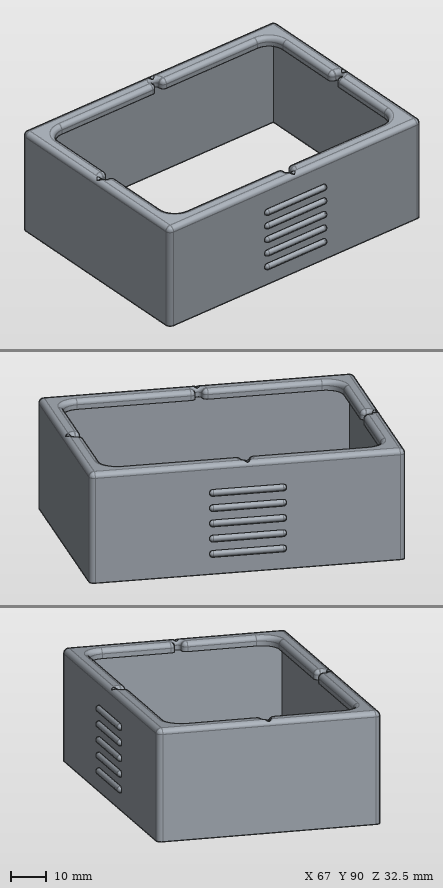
import cadquery as cq

width = 65.0
length = 90.0
height = 32.5
edge_radius = 1.5

wall = 1.5
rim_thickness = 2.8
rim_width = 5.0
rim_edge_radius = 1.4
opening_radius = 5.0

notch_radius = 1.0
notch_depth = 2.6

mark_half_width = 0.9
mark_depth = 0.45

rib_radius = 1.0
rib_length = 22.0
rib_count = 5
rib_pitch = 4.5
rib_middle_height = 15.0

opening_width = width - 2 * rim_width
opening_length = length - 2 * rim_width
rim_sides = [
    (opening_width / 2, 0),
    (opening_length / 2, 90),
    (opening_width / 2, 180),
    (opening_length / 2, 270),
]


def make_body():
    """Outer block with rounded upright and top edges, flat underneath."""
    block = cq.Workplane("XY").box(width, length, height, centered=(True, True, False))
    return block.edges("|Z or >Z").fillet(edge_radius)


def make_cavity():
    """Square-cornered hollow below the rim."""
    return cq.Workplane("XY").box(
        width - 2 * wall, length - 2 * wall, height - rim_thickness, centered=(True, True, False)
    )


def make_notch(inner_edge, angle):
    """Slot reaching from the middle of the opening into one rim side."""
    arc_centre = inner_edge + notch_depth - notch_radius
    slot = (
        cq.Workplane("XY")
        .moveTo(0, -notch_radius)
        .lineTo(arc_centre, -notch_radius)
        .threePointArc((inner_edge + notch_depth, 0), (arc_centre, notch_radius))
        .lineTo(0, notch_radius)
        .close()
        .extrude(height)
    )
    return slot.rotate((0, 0, 0), (0, 0, 1), angle)


def make_opening():
    """Cutter for the rim opening, flared at the top and at the notch mouths.

    The flare is rounded in a block wider than the body, because around the
    notch tips it runs on into the body's own rounded top edge.
    """
    opening = (
        cq.Workplane("XY")
        .rect(opening_width, opening_length)
        .extrude(height)
        .edges("|Z")
        .fillet(opening_radius)
    )
    for inner_edge, angle in rim_sides:
        opening = opening.union(make_notch(inner_edge, angle))
    surround_size = 2 * length
    surround = cq.Workplane("XY").rect(surround_size, surround_size).extrude(height)
    rounded = surround.cut(opening)
    mouth_band = 1.1 * notch_radius
    across_ends = cq.selectors.BoxSelector((-mouth_band, -length, 0), (mouth_band, length, height))
    across_sides = cq.selectors.BoxSelector((-width, -mouth_band, 0), (width, mouth_band, height))
    mouth_corners = rounded.edges("|Z").edges(across_ends + across_sides)
    rim_outline = rounded.faces(">Z").wires(cq.selectors.LengthNthSelector(0)).edges()
    rounded = mouth_corners.add(rim_outline).fillet(rim_edge_radius)
    return surround.cut(rounded)


def make_mark(inner_edge, angle):
    """V-shaped groove cutter across one rim side, from the opening outward."""
    groove = (
        cq.Workplane("YZ", origin=(inner_edge, 0, height))
        .moveTo(-mark_half_width, 0)
        .lineTo(0, -mark_depth)
        .lineTo(mark_half_width, 0)
        .close()
        .extrude(rim_width)
    )
    return groove.rotate((0, 0, 0), (0, 0, 1), angle)


def make_rib(side, rib_height):
    """Rod with ball ends, half sunk in a long side; side is -1 or 1."""
    rod_length = rib_length - 2 * rib_radius
    rib = cq.Workplane("XZ").circle(rib_radius).extrude(rod_length / 2, both=True)
    for end in (-1, 1):
        ball = cq.Workplane("XY").sphere(rib_radius).translate((0, end * rod_length / 2, 0))
        rib = rib.union(ball)
    return rib.translate((side * width / 2, 0, rib_height))


result = make_body().cut(make_cavity()).cut(make_opening())

for inner_edge, angle in rim_sides:
    result = result.cut(make_mark(inner_edge, angle))

for side in (-1, 1):
    for index in range(rib_count):
        offset = (index - (rib_count - 1) / 2) * rib_pitch
        result = result.union(make_rib(side, rib_middle_height + offset))